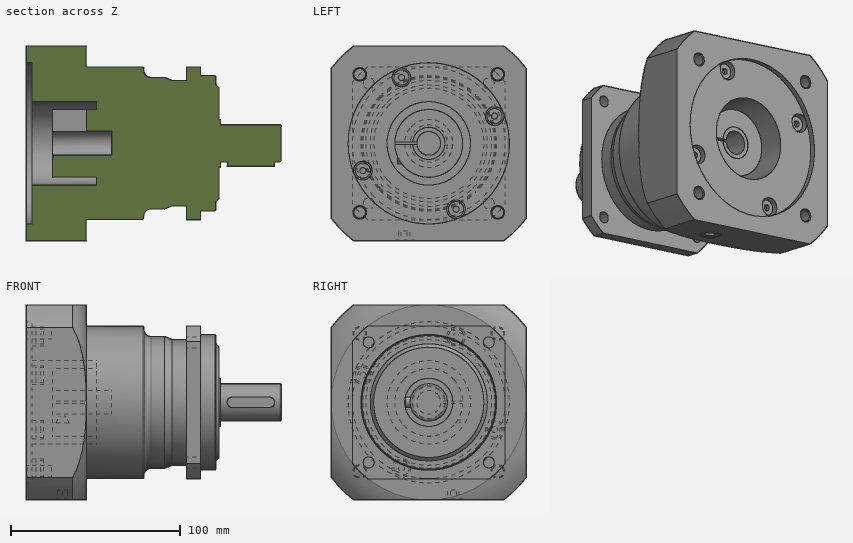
import math

import cadquery as cq


corner_angle = 45.0

flange_side = 115.0
flange_corner_radius = 72.5
flange_thickness = 35.5
crown_start = 27.5
crown_middle = (32.4, 65.6)
motor_pilot_radius = 47.5
motor_pilot_depth = 3.5
motor_screw_circle = 115.0
motor_screw_radius = 3.4
motor_screw_chamfer = 0.6
motor_screw_depth = 15.0

housing_screw_circle_radius = 42.0
housing_screw_start_angle = 67.5
counterbore_radius = 5.5
counterbore_bottom = 10.3
screw_head_radius = 4.5
screw_head_face = 6.0
screw_socket_radius = 1.8
screw_socket_depth = 2.5

input_bore_radius = 24.6
input_bore_end = 41.5
clamp_radius = 20.0
clamp_face = 15.5
motor_shaft_radius = 7.0
motor_shaft_depth = 35.0
bushing_radius = 9.5
bushing_setback = 0.2
slit_width = 1.5
slit_depth = 20.0
clamp_screw_x = 21.5
clamp_screw_y = 14.5
clamp_screw_head_radius = 4.0
clamp_screw_head_bottom = -12.2
clamp_screw_head_top = -4.0

plug_radius = 6.0
plug_setback = 0.5
plug_hex_across_flats = 6.0
plug_hex_depth = 5.5

housing_radius = 45.0
housing_end = 69.5
housing_edge_fillet = 1.0
neck_radius = 38.9
neck_fillet = 4.0
neck_end = 81.7
waist_start = 86.0
waist_radius = 37.1

output_flange_side = 90.0
output_flange_corner_radius = 57.6
output_flange_start = 94.4
output_flange_end = 102.8
output_screw_circle = 100.0
output_screw_radius = 3.25

pilot_radius = 40.0
pilot_end = 111.9
pilot_chamfer = 0.6
cover_radius = 34.5
cover_end = 113.8
cover_taper = 2.0
collar_radius = 14.2
shaft_start = 114.7
shaft_radius = 11.0
shaft_end = 150.5
shaft_edge_fillet = 1.0

key_start = 118.5
key_length = 28.0
key_width = 6.3
key_top = 13.6
key_bottom = 7.5


def cylinder(radius, start, end, y=0.0, z=0.0):
    """Cylinder along X between two X positions."""
    return cq.Workplane("YZ", origin=(start, y, z)).circle(radius).extrude(end - start)


def turned_square(side, corner_radius, start, end):
    """Square plate across X whose corners are turned to a circle."""
    square = cq.Workplane("YZ", origin=(start, 0, 0)).rect(side, side).extrude(end - start)
    return square.intersect(cylinder(corner_radius, start, end))


def polar_points(radius, start_angle):
    """Four (Y, Z) points equally spaced on a circle."""
    angles = [math.radians(start_angle + 90 * i) for i in range(4)]
    return [(radius * math.cos(a), radius * math.sin(a)) for a in angles]


def motor_flange():
    square = cq.Workplane("YZ").rect(flange_side, flange_side).extrude(flange_thickness)
    envelope = (
        cq.Workplane("XY")
        .lineTo(0, flange_corner_radius)
        .lineTo(crown_start, flange_corner_radius)
        .threePointArc(crown_middle, (flange_thickness, flange_side / 2))
        .lineTo(flange_thickness, 0)
        .close()
        .revolve(360, (0, 0, 0), (1, 0, 0))
    )
    return square.intersect(envelope)


def housing_and_shaft():
    """Everything turned about X, from the back of the motor flange to the shaft end."""
    arc_offset = neck_fillet * (1 - math.sqrt(0.5))
    edge_offset = housing_edge_fillet * (1 - math.sqrt(0.5))
    return (
        cq.Workplane("XY")
        .moveTo(crown_start, 0)
        .lineTo(crown_start, housing_radius)
        .lineTo(housing_end - housing_edge_fillet, housing_radius)
        .threePointArc(
            (housing_end - edge_offset, housing_radius - edge_offset),
            (housing_end, housing_radius - housing_edge_fillet),
        )
        .lineTo(housing_end, neck_radius + neck_fillet)
        .threePointArc(
            (housing_end + arc_offset, neck_radius + arc_offset),
            (housing_end + neck_fillet, neck_radius),
        )
        .lineTo(neck_end, neck_radius)
        .lineTo(waist_start, waist_radius)
        .lineTo(output_flange_end, waist_radius)
        .lineTo(output_flange_end, pilot_radius)
        .lineTo(pilot_end - pilot_chamfer, pilot_radius)
        .lineTo(pilot_end, pilot_radius - pilot_chamfer)
        .lineTo(pilot_end, cover_radius)
        .lineTo(cover_end, cover_radius - cover_taper)
        .lineTo(cover_end, collar_radius)
        .lineTo(shaft_start, collar_radius)
        .lineTo(shaft_start, shaft_radius)
        .lineTo(shaft_end, shaft_radius)
        .lineTo(shaft_end, 0)
        .close()
        .revolve(360, (0, 0, 0), (1, 0, 0))
        .faces(">X")
        .edges()
        .fillet(shaft_edge_fillet)
    )


def output_flange():
    plate = turned_square(
        output_flange_side, output_flange_corner_radius, output_flange_start, output_flange_end
    )
    for y, z in polar_points(output_screw_circle / 2, corner_angle):
        plate = plate.cut(cylinder(output_screw_radius, output_flange_start, output_flange_end, y, z))
    return plate


def key():
    return (
        cq.Workplane("XZ", origin=(key_start + key_length / 2, -key_bottom, 0))
        .slot2D(key_length, key_width)
        .extrude(key_top - key_bottom)
    )


def motor_shaft_clamp():
    """Slit clamping hub with its bushing and the head of its clamp screw."""
    clamp = cylinder(clamp_radius, clamp_face, input_bore_end)
    screw_head = (
        cq.Workplane("XY", origin=(clamp_screw_x, clamp_screw_y, clamp_screw_head_bottom))
        .circle(clamp_screw_head_radius)
        .extrude(clamp_screw_head_top - clamp_screw_head_bottom)
    )
    slit = cq.Workplane("XY").box(slit_depth, clamp_radius, slit_width, centered=(False, False, True))
    return (
        clamp.union(screw_head)
        .cut(slit.translate((clamp_face, 0, 0)))
        .cut(cylinder(bushing_radius, clamp_face, clamp_face + bushing_setback))
    )


def motor_screw_hole(y, z):
    """Blind hole with a chamfered mouth."""
    mouth = (
        cq.Workplane("YZ", origin=(0, y, z))
        .circle(motor_screw_radius + motor_screw_chamfer)
        .workplane(offset=motor_screw_chamfer)
        .circle(motor_screw_radius)
        .loft(ruled=True)
    )
    return mouth.union(cylinder(motor_screw_radius, 0, motor_screw_depth, y, z))


def housing_screw(y, z):
    """Screw head with a round socket, standing in its counterbore."""
    head = cylinder(screw_head_radius, screw_head_face, counterbore_bottom, y, z)
    socket = cylinder(screw_socket_radius, screw_head_face, screw_head_face + screw_socket_depth, y, z)
    return head.cut(socket)


def access_plug_recess():
    """Shallow round recess with a hexagon socket, cut up into the -Z side of the flange."""
    recess = (
        cq.Workplane("XY", origin=(clamp_screw_x, clamp_screw_y, -flange_side / 2))
        .circle(plug_radius)
        .extrude(plug_setback)
    )
    across_corners = plug_hex_across_flats / math.cos(math.pi / 6)
    socket = (
        cq.Workplane("XY")
        .polygon(6, across_corners)
        .extrude(plug_setback + plug_hex_depth)
        .rotate((0, 0, 0), (0, 0, 1), 30)
        .translate((clamp_screw_x, clamp_screw_y, -flange_side / 2))
    )
    return recess.union(socket)


def gearbox():
    body = motor_flange().union(housing_and_shaft()).union(output_flange()).union(key())
    body = body.cut(cylinder(motor_pilot_radius, 0, motor_pilot_depth))
    body = body.cut(cylinder(input_bore_radius, 0, input_bore_end))
    body = body.union(motor_shaft_clamp())
    body = body.cut(cylinder(motor_shaft_radius, clamp_face, clamp_face + motor_shaft_depth))
    for y, z in polar_points(motor_screw_circle / 2, corner_angle):
        body = body.cut(motor_screw_hole(y, z))
    for y, z in polar_points(housing_screw_circle_radius, housing_screw_start_angle):
        body = body.cut(cylinder(counterbore_radius, motor_pilot_depth, counterbore_bottom, y, z))
        body = body.union(housing_screw(y, z))
    return body.cut(access_plug_recess())


result = gearbox()